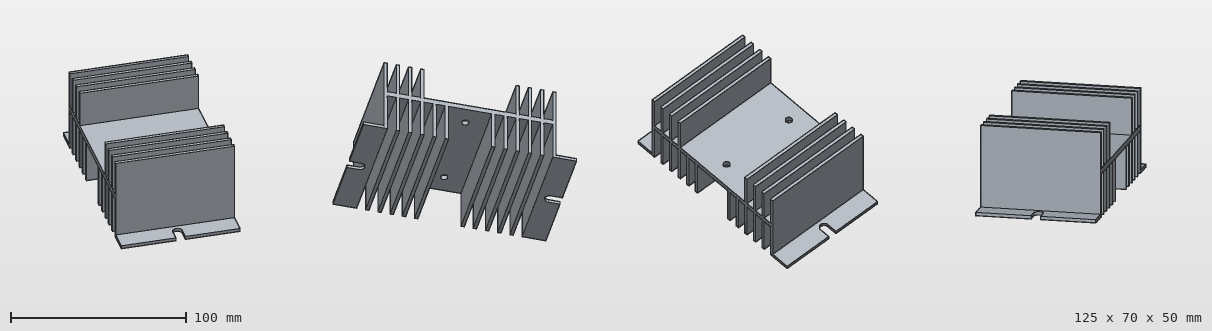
import cadquery as cq

total_width = 125.0
length = 70.0
height = 50.0

plate_bottom = 25.0
plate_thickness = 3.2
body_width = 101.0

wall_thickness = 2.0
lower_fin_count = 6
upper_fin_count = 4
lower_center_gap = 25.2
outer_fin_x = (body_width - wall_thickness) / 2
inner_fin_x = (lower_center_gap + wall_thickness) / 2
fin_pitch = (outer_fin_x - inner_fin_x) / (lower_fin_count - 1)

slot_width = 5.5
slot_depth = 9.6
hole_diameter = 4.0
hole_spacing = 48.0


def block(x_center, width, z_bottom, z_top):
    """Full-length rectangular bar, centred on Y = 0."""
    return (
        cq.Workplane("XY")
        .box(width, length, z_top - z_bottom, centered=(True, True, False))
        .translate((x_center, 0, z_bottom))
    )


def mounting_slot(side):
    """Round-ended slot opening at the outer edge of a foot."""
    edge_x = side * total_width / 2
    slot_length = 2 * slot_depth
    return (
        cq.Workplane("XY")
        .center(edge_x, 0)
        .slot2D(slot_length, slot_width)
        .extrude(wall_thickness)
    )


result = block(0, body_width, plate_bottom, plate_bottom + plate_thickness)

foot_width = (total_width - body_width) / 2 + wall_thickness
foot_x = (total_width - foot_width) / 2
for side in (-1, 1):
    for index in range(lower_fin_count):
        fin_x = side * (outer_fin_x - index * fin_pitch)
        fin_top = height if index < upper_fin_count else plate_bottom + plate_thickness
        result = result.union(block(fin_x, wall_thickness, 0, fin_top))
    result = result.union(block(side * foot_x, foot_width, 0, wall_thickness))
    result = result.cut(mounting_slot(side))

plate_holes = (
    cq.Workplane("XY")
    .workplane(offset=plate_bottom)
    .pushPoints([(0, -hole_spacing / 2), (0, hole_spacing / 2)])
    .circle(hole_diameter / 2)
    .extrude(plate_thickness)
)
result = result.cut(plate_holes)